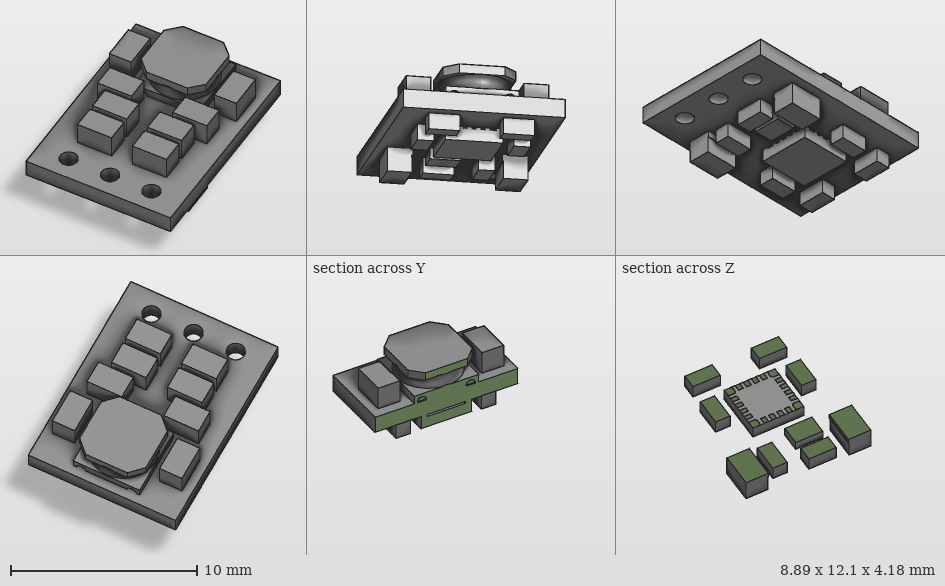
import cadquery as cq
import math

BOARD_X = 8.89
BOARD_Y = 12.06
BOARD_Z = 1.03
HOLE_DIAMETER = 1.03
HOLE_PITCH = 2.55
HOLE_ROW_Y = -4.74

LARGE_LENGTH = 2.1
LARGE_WIDTH = 1.35
LARGE_HEIGHT = 1.35
LARGE_TERMINAL = 0.5
SIDE_X = 3.23
SIDE_Y = 3.2
UPPER_ROW_X = 2.32
UPPER_ROW_Y = 0.55
LOWER_ROW_X = 1.69
ROW_PITCH = 1.65
BOTTOM_LARGE_X = 3.18
BOTTOM_LARGE_Y = -1.97
LIP_WIDTH = 0.05
LIP_HEIGHT = 0.37

SMALL_LENGTH = 1.7
SMALL_WIDTH = 0.9
SMALL_HEIGHT = 0.89
SMALL_TERMINAL = 0.3
REAR_X = 2.05
REAR_Y = 4.87
FLANK_X = 2.65
FLANK_Y = 2.46
INNER_X = -1.64
CROSS_X = 0.77
CROSS_Y = -2.74

LOW_X = 1.69
LOW_Y = 1.2
LOW_HEIGHT = 0.62
LOW_CENTRE_X = 0.74
LOW_REAR_Y = -0.6

INDUCTOR_SIDE = 4.0
INDUCTOR_Y = 3.5
INDUCTOR_HEIGHT = 1.8
BASE_HEIGHT = 0.5
LID_HEIGHT = 0.51
LID_CHAMFER = 0.75
ARCH_X = 1.52
ARCH_RADIUS = 0.28
ARCH_DEPTH = 0.13
WINDING_END_RADIUS = 1.95
WINDING_WAIST_RADIUS = 1.85

CHIP_SIDE = 3.16
CHIP_Y = 1.82
CHIP_HEIGHT = 0.8
CHIP_STANDOFF = 0.1
LEAD_COUNT = 4
LEAD_PITCH = 0.5
LEAD_WIDTH = 0.29
LEAD_LENGTH = 0.4
LEAD_HEIGHT = 0.18
PAD_SIDE = 0.5
PAD_RADIUS = 0.15


def block(size_x, size_y, height, x, y, base=0.0):
    """Box standing on Z = base, centred on (x, y)."""
    box = cq.Workplane("XY").box(size_x, size_y, height, centered=(True, True, False))
    return box.translate((x, y, base))


def join(parts):
    """Fuse the parts, keeping the seams between flush faces."""
    joined = parts[0]
    for part in parts[1:]:
        joined = joined.union(part, clean=False)
    return joined


def chip_component(length, width, height, terminal, x, y, along_y=False):
    """Ceramic body with a flush metal terminal at each end."""
    terminal_offset = (length - terminal) / 2
    component = join([
        block(length - 2 * terminal, width, height, 0, 0),
        block(terminal, width, height, -terminal_offset, 0),
        block(terminal, width, height, terminal_offset, 0),
    ])
    if along_y:
        component = component.rotate((0, 0, 0), (0, 0, 1), 90)
    return component.translate((x, y, 0))


def large_capacitor(x, y, along_y=False):
    return chip_component(LARGE_LENGTH, LARGE_WIDTH, LARGE_HEIGHT, LARGE_TERMINAL, x, y, along_y)


def small_component(x, y, along_y=False):
    return chip_component(SMALL_LENGTH, SMALL_WIDTH, SMALL_HEIGHT, SMALL_TERMINAL, x, y, along_y)


def make_board():
    hole_centres = [(i * HOLE_PITCH, HOLE_ROW_Y) for i in (-1, 0, 1)]
    return (
        block(BOARD_X, BOARD_Y, BOARD_Z, 0, 0, -BOARD_Z)
        .faces(">Z").workplane(origin=(0, 0, 0))
        .pushPoints(hole_centres).hole(HOLE_DIAMETER)
    )


def winding_half(end_z, waist_z):
    """Lower or upper half of the winding, flaring along an arc from the waist to one flange."""
    half_height = abs(end_z - waist_z)
    sag = WINDING_END_RADIUS - WINDING_WAIST_RADIUS
    arc_radius = (half_height**2 + sag**2) / (2 * sag)
    mid_angle = math.asin(half_height / arc_radius) / 2
    mid_r = WINDING_WAIST_RADIUS + arc_radius * (1 - math.cos(mid_angle))
    mid_z = waist_z + math.copysign(arc_radius * math.sin(mid_angle), end_z - waist_z)
    half_turn = (
        cq.Workplane("YZ")
        .moveTo(0, waist_z).lineTo(-WINDING_WAIST_RADIUS, waist_z)
        .threePointArc((-mid_r, mid_z), (-WINDING_END_RADIUS, end_z))
        .lineTo(0, end_z).close()
        .revolve(180, (0, 0, 0), (0, 1, 0))
    )
    return join([half_turn, half_turn.mirror("YZ")])


def make_inductor_base():
    """Square base with shallow arched notches at the foot of its front and rear faces."""
    base = block(INDUCTOR_SIDE, INDUCTOR_SIDE, BASE_HEIGHT, 0, 0)
    core_length = INDUCTOR_SIDE - 2 * ARCH_DEPTH
    arches = cq.Workplane("XZ").pushPoints([(-ARCH_X, 0), (ARCH_X, 0)]).circle(ARCH_RADIUS)
    core = block(INDUCTOR_SIDE, core_length, BASE_HEIGHT, 0, 0)
    return base.cut(arches.extrude(INDUCTOR_SIDE / 2, both=True).cut(core))


def make_inductor():
    lid_z = INDUCTOR_HEIGHT - LID_HEIGHT
    waist_z = (BASE_HEIGHT + lid_z) / 2
    lid = block(INDUCTOR_SIDE, INDUCTOR_SIDE, LID_HEIGHT, 0, 0, lid_z).edges("|Z").chamfer(LID_CHAMFER)
    windings = [winding_half(end_z, waist_z) for end_z in (BASE_HEIGHT, lid_z)]
    inductor = join([make_inductor_base()] + windings + [lid])
    return inductor.translate((0, INDUCTOR_Y, 0))


def make_integrated_circuit():
    """Body held off the board by a row of leads on each side and a pad in each corner."""
    body = block(CHIP_SIDE, CHIP_SIDE, CHIP_HEIGHT - CHIP_STANDOFF, 0, 0, CHIP_STANDOFF)
    leads = []
    pads = []
    lead_offset = (CHIP_SIDE - LEAD_LENGTH) / 2
    pad_offset = (CHIP_SIDE - PAD_SIDE) / 2
    pad = block(PAD_SIDE, PAD_SIDE, CHIP_STANDOFF, -pad_offset, -pad_offset)
    pad = pad.edges("|Z").edges(">X or >Y").fillet(PAD_RADIUS)
    for side in range(4):
        angle = 90 * side
        for i in range(LEAD_COUNT):
            along = (i - (LEAD_COUNT - 1) / 2) * LEAD_PITCH
            lead = block(LEAD_WIDTH, LEAD_LENGTH, LEAD_HEIGHT, along, -lead_offset)
            leads.append(lead.rotate((0, 0, 0), (0, 0, 1), angle))
        pads.append(pad.rotate((0, 0, 0), (0, 0, 1), angle))
    for lead in leads:
        body = body.cut(lead)
    return join([body] + leads + pads).translate((0, CHIP_Y, 0))


def make_top_parts():
    parts = [make_inductor()]
    for side in (-1, 1):
        parts.append(large_capacitor(side * SIDE_X, SIDE_Y, along_y=True))
        parts.append(large_capacitor(side * UPPER_ROW_X, UPPER_ROW_Y))
        for row in (1, 2):
            parts.append(large_capacitor(side * LOWER_ROW_X, UPPER_ROW_Y - row * ROW_PITCH))
    return parts


def make_underside_parts():
    """Underside parts, standing upright on Z = 0."""
    parts = [
        make_integrated_circuit(),
        small_component(INNER_X, BOTTOM_LARGE_Y, along_y=True),
        small_component(CROSS_X, CROSS_Y),
        block(LOW_X, LOW_Y, LOW_HEIGHT, LOW_CENTRE_X, LOW_REAR_Y - LOW_Y / 2),
    ]
    lip_x = BOTTOM_LARGE_X - (LARGE_WIDTH + LIP_WIDTH) / 2
    for side in (-1, 1):
        parts.append(large_capacitor(side * BOTTOM_LARGE_X, BOTTOM_LARGE_Y, along_y=True))
        parts.append(block(LIP_WIDTH, LARGE_LENGTH, LIP_HEIGHT, side * lip_x, BOTTOM_LARGE_Y))
        parts.append(small_component(side * REAR_X, REAR_Y))
        parts.append(small_component(side * FLANK_X, FLANK_Y, along_y=True))
    return parts


underside = [part.mirror("XY").translate((0, 0, -BOARD_Z)) for part in make_underside_parts()]
result = join([make_board()] + make_top_parts() + underside)